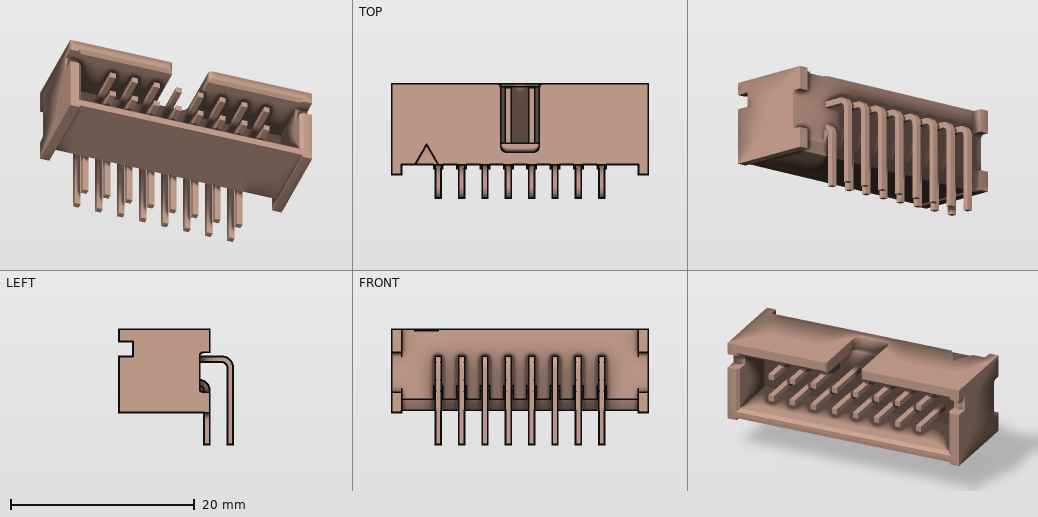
import cadquery as cq
import math


pitch = 2.54
columns = 8
pin_size = 0.64
bend_outer_radius = 1.25
bend_inner_radius = bend_outer_radius - pin_size
tail_length = 3.47

body_length = 27.94
body_height = 9.1
body_depth = 8.81
wall = 1.36
cavity_depth = 6.48
mouth_chamfer = 0.35

standoff = 0.25
foot_size = 1.1
upper_foot_height = 2.54
lower_foot_height = 2.23
foot_fillet = 0.4

key_width = 4.15
key_length = 7.45
key_corner_radius = 0.65
key_mouth_radius = 0.42
end_notch_height = 1.6
end_notch_depth = 1.54

rear_bevel_height = 1.2
pad_width = 1.02

mark_depth = 0.17
pin_recess = 0.42

top_z = body_height / 2
feet_z = -top_z
underside_z = feet_z + standoff
mouth_y = body_depth
cavity_floor_y = mouth_y - cavity_depth
cavity_length = body_length - 2 * wall
cavity_height = body_height - 2 * wall
foot_back_y = -foot_size
tail_end_z = feet_z - tail_length
pin_tip_y = mouth_y - pin_recess
upper_row_z = pitch / 2
lower_row_z = -pitch / 2
lower_tail_y = foot_back_y + pin_size / 2
upper_tail_y = lower_tail_y - pitch
column_xs = [(i - (columns - 1) / 2) * pitch for i in range(columns)]
bevel_top_z = underside_z + rear_bevel_height
pad_back_y = lower_tail_y + pin_size / 2
lower_bend_centre_z = lower_row_z + pin_size / 2 - bend_outer_radius
bevel_slope = -pad_back_y / (lower_bend_centre_z - bevel_top_z)


def box(x_range, y_range, z_range):
    """Axis-aligned block given by its limits on each axis."""
    size = [limits[1] - limits[0] for limits in (x_range, y_range, z_range)]
    corner = (x_range[0], y_range[0], z_range[0])
    return cq.Workplane("XY").box(*size, centered=False).translate(corner)


def extrude_profile(profile, x_centre, width):
    """Extrude a closed Y-Z profile along X, centred on x_centre."""
    return profile.extrude(width / 2, both=True).translate((x_centre, 0, 0))


def make_block():
    """Outer block with rear corner feet and the clearance under the body."""
    half_length = body_length / 2
    block = box((-half_length, half_length), (foot_back_y, mouth_y), (feet_z, top_z))

    between_feet = half_length - foot_size
    rear_gap = box((-between_feet, between_feet), (foot_back_y, 0), (feet_z, top_z))
    underside_gap = box((-between_feet, between_feet), (0, mouth_y), (feet_z, underside_z))

    foot_window = box(
        (-half_length, half_length),
        (foot_back_y - foot_size, 0),
        (feet_z + lower_foot_height, top_z - upper_foot_height),
    )
    foot_window = foot_window.edges("|X and >Y").fillet(foot_fillet)

    bevel = (
        cq.Workplane("YZ")
        .moveTo(0, bevel_top_z)
        .lineTo(0, underside_z)
        .lineTo(rear_bevel_height * bevel_slope, underside_z)
        .close()
    )
    bevel_cut = extrude_profile(bevel, 0, 2 * between_feet)
    return block.cut(rear_gap).cut(underside_gap).cut(foot_window).cut(bevel_cut)


def make_cavity():
    """Mating cavity, widened by a chamfer at its mouth."""
    cavity = box(
        (-cavity_length / 2, cavity_length / 2),
        (cavity_floor_y, mouth_y),
        (-cavity_height / 2, cavity_height / 2),
    )
    flare = (
        cq.Workplane("XZ", origin=(0, mouth_y, 0))
        .rect(cavity_length + 2 * mouth_chamfer, cavity_height + 2 * mouth_chamfer)
        .workplane(offset=mouth_chamfer)
        .rect(cavity_length, cavity_height)
        .loft(ruled=True)
    )
    return cavity.union(flare)


def make_key_slot():
    """Polarising slot through the top wall, rounded at its rear corners and its mouth."""
    slot = box(
        (-key_width / 2, key_width / 2),
        (mouth_y - key_length, mouth_y),
        (top_z - wall, top_z),
    )
    slot = slot.edges("|Z and <Y").fillet(key_corner_radius)
    half_width = key_width / 2
    flare_half_width = half_width + key_mouth_radius
    flare_end_y = mouth_y - key_mouth_radius
    diagonal = key_mouth_radius * math.sqrt(0.5)
    arc_middle_x = flare_half_width - diagonal
    arc_middle_y = flare_end_y + diagonal
    flare = (
        cq.Workplane("XY", origin=(0, 0, top_z - wall))
        .moveTo(-flare_half_width, mouth_y)
        .lineTo(flare_half_width, mouth_y)
        .threePointArc((arc_middle_x, arc_middle_y), (half_width, flare_end_y))
        .lineTo(-half_width, flare_end_y)
        .threePointArc((-arc_middle_x, arc_middle_y), (-flare_half_width, mouth_y))
        .close()
        .extrude(wall)
    )
    return slot.union(flare)


def make_end_notches():
    """Notch through both end walls, just under the top wall."""
    return box(
        (-body_length / 2, body_length / 2),
        (mouth_y - end_notch_depth, mouth_y),
        (top_z - wall - end_notch_height, top_z - wall),
    )


def make_first_pin_mark():
    """Equilateral triangle sunk into the top, its base on the rear edge."""
    centre_x = column_xs[0] - pitch / 2
    return (
        cq.Workplane("XY", origin=(centre_x, 0, top_z - mark_depth))
        .moveTo(-pitch / 2, 0)
        .lineTo(pitch / 2, 0)
        .lineTo(0, pitch * math.sin(math.radians(60)))
        .close()
        .extrude(mark_depth)
    )


def make_pad(x):
    """Rear pad that fills the inside of a lower contact's bend and runs down into the bevel."""
    arc_centre_y = pad_back_y + bend_inner_radius
    start_angle = math.acos(-arc_centre_y / bend_inner_radius)
    middle_angle = (start_angle + math.pi) / 2

    def arc_point(angle):
        y = arc_centre_y + bend_inner_radius * math.cos(angle)
        z = lower_bend_centre_z + bend_inner_radius * math.sin(angle)
        return (y, z)

    pad = (
        cq.Workplane("YZ")
        .moveTo(*arc_point(start_angle))
        .threePointArc(arc_point(middle_angle), arc_point(math.pi))
        .lineTo(0, bevel_top_z)
        .close()
    )
    return extrude_profile(pad, x, pad_width)


def make_contact(x, row_z, tail_y):
    """Square contact: straight from the cavity, then bent down into its tail."""
    half = pin_size / 2
    bar_bottom_z = row_z - half
    tail_back_y = tail_y - half
    profile = (
        cq.Workplane("YZ")
        .moveTo(pin_tip_y, row_z + half)
        .lineTo(tail_back_y, row_z + half)
        .lineTo(tail_back_y, tail_end_z)
        .lineTo(tail_y + half, tail_end_z)
        .lineTo(tail_y + half, bar_bottom_z)
        .lineTo(pin_tip_y, bar_bottom_z)
        .close()
    )
    contact = extrude_profile(profile, x, pin_size)
    outer_corner = cq.selectors.NearestToPointSelector((x, tail_back_y, row_z + half))
    inner_corner = cq.selectors.NearestToPointSelector((x, tail_y + half, bar_bottom_z))
    contact = contact.edges(outer_corner).fillet(bend_outer_radius)
    return contact.edges(inner_corner).fillet(bend_inner_radius)


result = make_block()
for cutter in (make_cavity(), make_key_slot(), make_end_notches(), make_first_pin_mark()):
    result = result.cut(cutter)
for column_x in column_xs:
    result = result.union(make_pad(column_x))
    result = result.union(make_contact(column_x, lower_row_z, lower_tail_y))
    result = result.union(make_contact(column_x, upper_row_z, upper_tail_y))